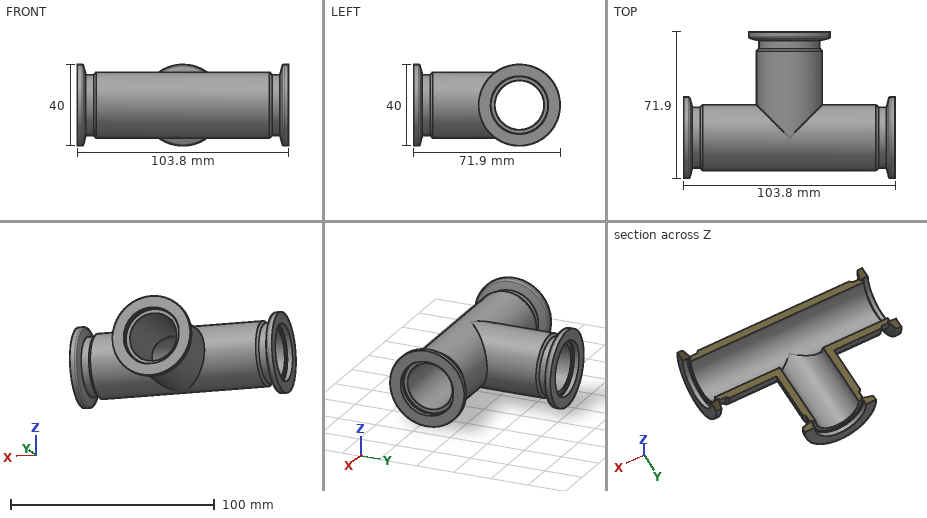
import cadquery as cq
import math

port_reach = 51.9

flange_radius = 19.98
rim_width = 3.0
rim_fillet = 1.0
cone_angle = 15.0
seat_radius = 14.2
seat_depth = 2.6
flange_bore_radius = 14.0
edge_margin = 0.1

spigot_setback = 3.4
pipe_radius = 16.2
neck_radius = 14.9
bore_radius = 12.0
shoulder_setback = 9.4

flange_depth = rim_width + (flange_radius - neck_radius) * math.tan(math.radians(cone_angle))
pipe_end = port_reach - shoulder_setback
shoulder_length = pipe_radius - neck_radius
neck_end = port_reach - flange_depth
spigot_end = port_reach - spigot_setback

port_directions = [(-1, 0, 0), (1, 0, 0), (0, 1, 0)]


def port_plane(direction, distance=0.0):
    """Plane facing along a port axis, at a distance from the origin."""
    origin = tuple(distance * part for part in direction)
    return cq.Plane(origin=origin, xDir=(0, 0, 1), normal=direction)


def make_arm(direction):
    """Solid arm of the tee: full pipe, sloped shoulder, neck and spigot."""
    profile = [
        (0, 0),
        (pipe_radius, 0),
        (pipe_radius, pipe_end),
        (neck_radius, pipe_end + shoulder_length),
        (neck_radius, neck_end),
        (flange_bore_radius, neck_end),
        (flange_bore_radius, spigot_end),
        (0, spigot_end),
    ]
    arm = cq.Workplane("XZ").polyline(profile).close().revolve(360, (0, 0), (0, 1))
    return cq.Workplane(arm.val().moved(cq.Location(port_plane(direction))))


def make_bore(direction):
    """Round passage from the center of the tee out through one arm."""
    return cq.Workplane(port_plane(direction)).circle(bore_radius).extrude(port_reach)


def make_tee():
    """Hollow pipe tee with a spigot at each port."""
    run = make_arm(port_directions[0]).union(make_arm(port_directions[1]))
    tee = run.union(make_arm(port_directions[2]))
    for direction in port_directions:
        tee = tee.cut(make_bore(direction))
    return tee


def make_flange(direction):
    """Clamp flange with a sloped back, rounded rim and stepped bore."""
    profile = [
        (flange_bore_radius, -flange_depth),
        (neck_radius, -flange_depth),
        (flange_radius, -rim_width),
        (flange_radius, 0),
        (seat_radius, 0),
        (seat_radius, -seat_depth),
        (flange_bore_radius, -seat_depth),
    ]
    flange = cq.Workplane("XZ").polyline(profile).close().revolve(360, (0, 0), (0, 1))
    rim_edge = cq.selectors.BoxSelector(
        (-2 * flange_radius, -2 * flange_radius, -rim_width - edge_margin),
        (2 * flange_radius, 2 * flange_radius, -rim_width + edge_margin),
        boundingbox=True,
    )
    flange = flange.edges(rim_edge).fillet(rim_fillet)
    return flange.val().moved(cq.Location(port_plane(direction, port_reach)))


tee = make_tee()
flanges = [make_flange(direction) for direction in port_directions]

result = cq.Compound.makeCompound([tee.val(), *flanges])